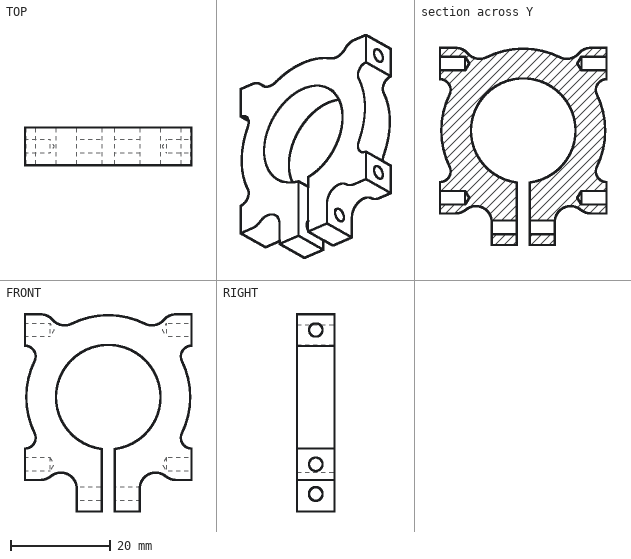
import cadquery as cq
import math

width = 33.53
thickness = 7.62
total_height = 39.7
ring_radius = 16.51
bore_diameter = 20.98

pad_height = 6.35
pad_blend_radius = 3.175

leg_length = 6.35
leg_span = 12.7
slot_width = 2.54

hole_diameter = 2.7
pad_hole_depth = 5.08
drill_point_angle = 118
clamp_hole_height = 3.556

half_width = width / 2
half_height = (total_height - leg_length) / 2
pad_inner_z = half_height - pad_height
leg_end_z = -half_height - leg_length
leg_outer_x = leg_span / 2
pad_hole_z = half_height - pad_height / 2


def point_between(start, end, distance):
    """Point at the given distance from start towards end."""
    ratio = distance / math.dist(start, end)
    return (start[0] + ratio * (end[0] - start[0]), start[1] + ratio * (end[1] - start[1]))


def arc_middle(center, radius, start, end):
    """Middle of the shorter arc from start to end about center."""
    chord_middle = ((start[0] + end[0]) / 2, (start[1] + end[1]) / 2)
    return point_between(center, chord_middle, radius)


def add_arc(sketch, center, radius, start, end):
    """Extend the sketch from start to end along the shorter arc about center."""
    return sketch.threePointArc(arc_middle(center, radius, start, end), end)


def half_outline():
    """Closed outline of the +X half, without bore, slot and holes."""
    ring_center = (0, 0)
    blend = pad_blend_radius

    pad_arc_x = half_width - blend
    pad_arc_z = half_height - blend
    upper_pad_center = (pad_arc_x, pad_arc_z)
    lower_pad_center = (pad_arc_x, -pad_arc_z)

    pad_distance = math.hypot(pad_arc_x, pad_arc_z)
    valley_distance = ring_radius + blend
    center_gap = 2 * blend
    cosine_terms = pad_distance**2 + valley_distance**2 - center_gap**2
    valley_turn = math.acos(cosine_terms / (2 * pad_distance * valley_distance))
    valley_angle = math.atan2(pad_arc_z, pad_arc_x) + valley_turn
    valley_center = (valley_distance * math.cos(valley_angle), valley_distance * math.sin(valley_angle))
    ring_to_valley = point_between(ring_center, valley_center, ring_radius)
    valley_to_pad = point_between(upper_pad_center, valley_center, blend)

    notch_radius = (half_width**2 + pad_inner_z**2 - ring_radius**2) / (2 * (ring_radius + pad_inner_z))
    notch_z = pad_inner_z - notch_radius
    upper_notch_center = (half_width, notch_z)
    lower_notch_center = (half_width, -notch_z)
    upper_notch_to_ring = point_between(ring_center, upper_notch_center, ring_radius)
    ring_to_lower_notch = point_between(ring_center, lower_notch_center, ring_radius)

    leg_arc_x = leg_outer_x + blend
    leg_arc_z = -pad_arc_z - math.sqrt(center_gap**2 - (pad_arc_x - leg_arc_x)**2)
    leg_arc_center = (leg_arc_x, leg_arc_z)
    pad_to_leg_arc = point_between(lower_pad_center, leg_arc_center, blend)
    leg_arc_end = (leg_outer_x, leg_arc_z)

    ring_top = (0, ring_radius)
    upper_pad_start = (pad_arc_x, half_height)
    upper_pad_end = (half_width, pad_inner_z)
    lower_pad_start = (half_width, -pad_inner_z)
    lower_pad_end = (pad_arc_x, -half_height)
    upper_notch_bottom = (half_width - notch_radius, notch_z)
    lower_notch_bottom = (half_width - notch_radius, -notch_z)

    sketch = cq.Workplane("XZ").moveTo(*ring_top)
    sketch = add_arc(sketch, ring_center, ring_radius, ring_top, ring_to_valley)
    sketch = add_arc(sketch, valley_center, blend, ring_to_valley, valley_to_pad)
    sketch = add_arc(sketch, upper_pad_center, blend, valley_to_pad, upper_pad_start)
    sketch = sketch.lineTo(half_width, half_height).lineTo(*upper_pad_end)
    sketch = sketch.threePointArc(upper_notch_bottom, upper_notch_to_ring)
    sketch = add_arc(sketch, ring_center, ring_radius, upper_notch_to_ring, ring_to_lower_notch)
    sketch = sketch.threePointArc(lower_notch_bottom, lower_pad_start)
    sketch = sketch.lineTo(half_width, -half_height).lineTo(*lower_pad_end)
    sketch = add_arc(sketch, lower_pad_center, blend, lower_pad_end, pad_to_leg_arc)
    sketch = add_arc(sketch, leg_arc_center, blend, pad_to_leg_arc, leg_arc_end)
    return sketch.lineTo(leg_outer_x, leg_end_z).lineTo(0, leg_end_z).close()


def plate():
    """Solid plate, the +X half joined to its mirror image."""
    half = half_outline().extrude(thickness / 2, both=True)
    return half.union(half.mirror("YZ"))


def bore_and_slot():
    """Cutter for the bore and the slot running from it between the legs."""
    bore = cq.Workplane("XZ").circle(bore_diameter / 2).extrude(thickness, both=True)
    slot = cq.Workplane("XY").box(slot_width, thickness, -leg_end_z, centered=(True, True, False))
    return bore.union(slot.translate((0, 0, leg_end_z)))


def clamp_hole():
    """Through hole along X, crossing both legs."""
    center_z = leg_end_z + clamp_hole_height
    return cq.Workplane("YZ").center(0, center_z).circle(hole_diameter / 2).extrude(half_width, both=True)


def pad_hole(side, z):
    """Blind hole with a drill point, entering a pad from side -1 (-X) or +1 (+X)."""
    radius = hole_diameter / 2
    point_length = radius / math.tan(math.radians(drill_point_angle / 2))
    mouth_x = side * half_width
    shoulder_x = side * (half_width - pad_hole_depth)
    tip_x = shoulder_x - side * point_length
    profile = (
        cq.Workplane("XY")
        .moveTo(mouth_x, 0)
        .lineTo(mouth_x, radius)
        .lineTo(shoulder_x, radius)
        .lineTo(tip_x, 0)
        .close()
    )
    return profile.revolve(axisStart=(0, 0, 0), axisEnd=(1, 0, 0)).translate((0, 0, z))


result = plate().cut(bore_and_slot()).cut(clamp_hole())
for side in (-1, 1):
    for z in (-pad_hole_z, pad_hole_z):
        result = result.cut(pad_hole(side, z))